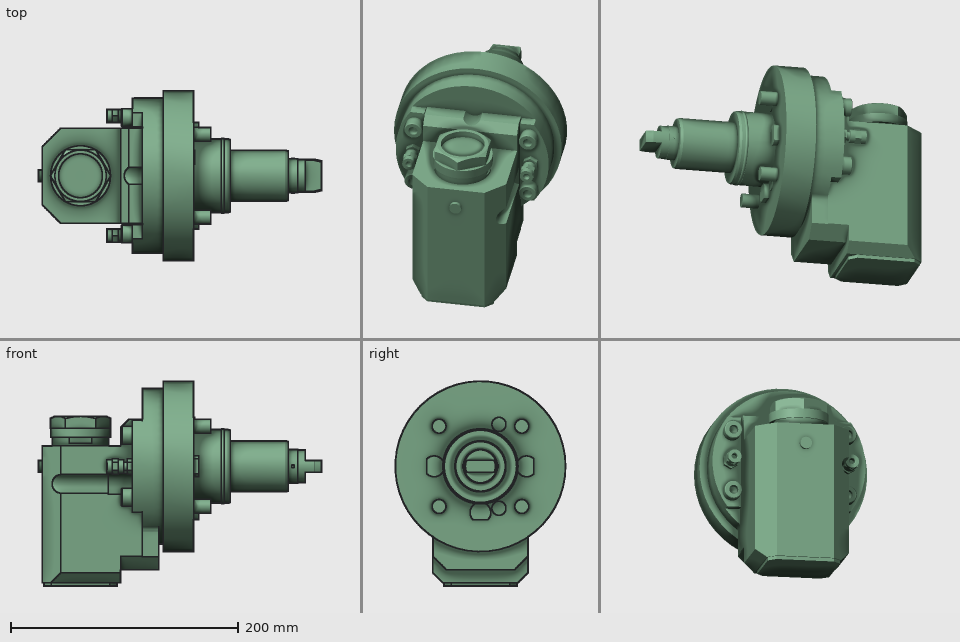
import cadquery as cq
import math


flange_diameter = 150.0
flange_thickness = 26.9
plate_diameter = 137.0
plate_back_x = -45.0
ledge_back_x = -54.0
ledge_half_height = 40.4
slot_half_width = 42.9

block_half_width = 42.0
block_back_x = -133.3
block_front_x = -64.2
block_top_z = 18.0
block_bottom_z = -102.6
block_corner_chamfer = 16.5
block_bottom_chamfer = 9.0
lip_top_z = 41.5
lip_chamfer = 7.2
lip_groove_radius = 9.0
lip_groove_half_width = 7.5
foot_top_z = -50.0
foot_bottom_z = -91.2
foot_front_x = -30.6
foot_chamfer = 12.2
foot_side_inset = 0.5
foot_fillet_radius = 4.8
side_groove_radius = 8.3
side_groove_wide_radius = 9.2
side_groove_y = -42.6
side_groove_z = -15.4
side_groove_step_x = -75.0
back_pin_diameter = 10.5
back_pin_length = 3.2

spindle_x = -99.5
neck_diameter = 50.0
neck_height = 7.4
neck_flats_width = 46.0
neck_flats_start = 2.2
collar_diameter = 52.8
collar_height = 8.1
hex_width = 46.0
hex_height = 10.6
hex_chamfer_diameter = 45.2
hex_chamfer_height = 2.0
nut_recess_diameter = 38.6
nut_recess_depth = 6.0
cover_width = 64.5
cover_corner_chamfer = 6.6
cover_height = 2.9

shank_diameter = 65.0
shank_length = 32.3
shank_chamfer_length = 2.2
shank_chamfer_depth = 0.7
seal_groove_start = 24.3
seal_section_radius = 1.4
seal_bulge = 0.6
sleeve_diameter = 45.0
sleeve_end_x = 83.3
sleeve_chamfer_length = 2.4
sleeve_chamfer_depth = 0.7
shaft_diameter = 30.0
shaft_end_x = 91.5
tenon_diameter = 29.0
tenon_start_x = 98.3
tenon_end_x = 112.5
tenon_thickness = 10.6
tenon_taper_length = 6.3
tenon_taper_depth = 1.3
cross_pin_x = 87.4
cross_pin_diameter = 2.6
cross_pin_length = 31.2

head_diameter = 15.8
head_length = 9.5
head_edge_chamfer = 0.7
socket_diameter = 8.0
socket_depth = 5.0
socket_point_depth = 2.3
screw_y = 51.2
screw_z = 27.2
screw_end_diameter = 12.3
screw_end_length = 15.2
screw_end_y = 36.4
screw_end_z = 35.3
nipple_y = 52.6
nipple_hex_width = 11.8
nipple_bore_diameter = 4.8
nipple_mouth_diameter = 5.8
nipple_bore_depth = 6.0
nipple_ring_diameter = 11.8
nipple_neck_diameter = 7.6
nipple_base_length = 4.3
nipple_neck_length = 3.3
nipple_ring_length = 4.7
nipple_hex_length = 5.3
nipple_tip_length = 4.7

pad_diameter = 18.3
pad_center_radius = 40.7
pad_reach = 47.0
pad_height = 4.6
port_seal_diameter = 12.4
port_seal_height = 0.9
port_seal_y = 16.3
port_seal_z = 36.9


def rod(x_start, x_end, diameter, y=0.0, z=0.0):
    """Cylinder along X between two X positions."""
    return cq.Workplane("YZ", origin=(x_start, y, z)).circle(diameter / 2).extrude(x_end - x_start)


def hex_bar(x_start, x_end, width, y, z):
    """Hexagonal bar along X with two flats facing +Y and -Y."""
    across_corners = 2 * width / math.sqrt(3)
    plane = cq.Workplane("YZ", origin=(x_start, y, z))
    return plane.transformed(rotate=(0, 0, 90)).polygon(6, across_corners).extrude(x_end - x_start)


def box(x_range, y_range, z_range):
    """Box given by its limits along each axis."""
    sizes = [high - low for low, high in (x_range, y_range, z_range)]
    corner = (x_range[0], y_range[0], z_range[0])
    return cq.Workplane("XY", origin=corner).box(*sizes, centered=False)


def chamfered_column(x_start, x_end, half_width, top, bottom, chamfer):
    """Block along X whose two lower long edges are chamfered at 45 degrees."""
    column = box((x_start, x_end), (-half_width, half_width), (bottom, top))
    return column.edges("|X and <Z").chamfer(chamfer)


def make_plate():
    flange = rod(-flange_thickness, 0, flange_diameter)
    plate = rod(plate_back_x, -flange_thickness, plate_diameter)
    ledge = rod(ledge_back_x, plate_back_x, plate_diameter)
    ledge_limits = (-ledge_half_height, ledge_half_height)
    for side in (-1, 1):
        y_limits = sorted((side * slot_half_width, side * plate_diameter))
        ledge_zone = box((ledge_back_x, plate_back_x), y_limits, ledge_limits)
        plate = plate.union(ledge.intersect(ledge_zone))
    return flange.union(plate)


def add_foot(plate):
    """Adds the foot below the clamping plate, with fillets where its sides meet the rim."""
    half_width = block_half_width - foot_side_inset
    foot = chamfered_column(
        plate_back_x, foot_front_x, half_width, foot_top_z, foot_bottom_z, foot_chamfer - foot_side_inset
    )
    meeting_z = -math.sqrt((plate_diameter / 2) ** 2 - half_width**2)
    middle_x = (plate_back_x + foot_front_x) / 2
    footed_plate = plate.union(foot)
    for side in (-1, 1):
        meeting_point = (middle_x, side * half_width, meeting_z)
        meeting_edge = cq.selectors.NearestToPointSelector(meeting_point)
        footed_plate = footed_plate.edges(meeting_edge).fillet(foot_fillet_radius)
    return footed_plate


def make_block():
    column = chamfered_column(
        block_back_x, block_front_x, block_half_width, block_top_z, block_bottom_z, block_bottom_chamfer
    )
    footprint = (
        cq.Workplane("XY", origin=(0, 0, block_bottom_z))
        .polyline([
            (block_front_x, -block_half_width),
            (block_back_x + block_corner_chamfer, -block_half_width),
            (block_back_x, -block_half_width + block_corner_chamfer),
            (block_back_x, block_half_width - block_corner_chamfer),
            (block_back_x + block_corner_chamfer, block_half_width),
            (block_front_x, block_half_width),
        ])
        .close()
        .extrude(block_top_z - block_bottom_z)
    )
    block = column.intersect(footprint)

    front_wall = chamfered_column(
        block_front_x, plate_back_x, block_half_width, lip_top_z, foot_bottom_z, foot_chamfer
    )
    front_wall = front_wall.edges("<X and >Z").chamfer(lip_chamfer)
    block = block.union(front_wall)

    groove_rise = math.sqrt(lip_groove_radius**2 - lip_groove_half_width**2)
    lip_groove = rod(
        block_front_x, plate_back_x, 2 * lip_groove_radius, z=lip_top_z + groove_rise
    )
    side_groove = rod(
        block_back_x, side_groove_step_x, 2 * side_groove_radius, side_groove_y, side_groove_z
    )
    wide_groove = rod(
        side_groove_step_x, ledge_back_x, 2 * side_groove_wide_radius, side_groove_y, side_groove_z
    )
    block = block.cut(lip_groove).cut(side_groove).cut(wide_groove)

    back_pin = rod(block_back_x - back_pin_length, block_back_x, back_pin_diameter)
    return block.union(back_pin)


def make_spindle_neck():
    """Round neck above the block with a wrench flat on its +Y and -Y sides."""
    neck = (
        cq.Workplane("XY", origin=(spindle_x, 0, block_top_z))
        .circle(neck_diameter / 2)
        .extrude(neck_height)
    )
    flats_height = neck_height - neck_flats_start
    outside_flats = (
        cq.Workplane("XY", origin=(spindle_x, 0, block_top_z + neck_flats_start))
        .rect(neck_diameter, 2 * neck_diameter)
        .rect(neck_diameter, neck_flats_width)
        .extrude(flats_height)
    )
    return neck.cut(outside_flats)


def make_bottom_cover():
    return (
        cq.Workplane("XY", origin=(spindle_x, 0, block_bottom_z))
        .rect(cover_width, cover_width)
        .extrude(-cover_height)
        .edges("|Z")
        .chamfer(cover_corner_chamfer)
    )


def make_shank():
    shank_radius = shank_diameter / 2
    sleeve_radius = sleeve_diameter / 2
    seal_center_x = seal_groove_start + seal_section_radius
    seal_center_radius = shank_radius + seal_bulge - seal_section_radius
    tenon_radius = tenon_diameter / 2
    shank = (
        cq.Workplane("XY")
        .moveTo(0, 0)
        .lineTo(0, shank_radius)
        .lineTo(seal_groove_start, shank_radius)
        .lineTo(seal_groove_start, seal_center_radius)
        .threePointArc(
            (seal_center_x, seal_center_radius + seal_section_radius),
            (seal_center_x + seal_section_radius, seal_center_radius),
        )
        .lineTo(seal_center_x + seal_section_radius, shank_radius)
        .lineTo(shank_length - shank_chamfer_length, shank_radius)
        .lineTo(shank_length, shank_radius - shank_chamfer_depth)
        .lineTo(shank_length, sleeve_radius)
        .lineTo(sleeve_end_x - sleeve_chamfer_length, sleeve_radius)
        .lineTo(sleeve_end_x, sleeve_radius - sleeve_chamfer_depth)
        .lineTo(sleeve_end_x, shaft_diameter / 2)
        .lineTo(shaft_end_x, shaft_diameter / 2)
        .lineTo(shaft_end_x, tenon_radius)
        .lineTo(tenon_end_x - tenon_taper_length, tenon_radius)
        .lineTo(tenon_end_x, tenon_radius - tenon_taper_depth)
        .lineTo(tenon_end_x, 0)
        .close()
        .revolve(360, (0, 0, 0), (1, 0, 0))
    )
    for side in (-1, 1):
        z_limits = sorted((side * tenon_thickness / 2, side * tenon_diameter))
        beside_tenon = box((tenon_start_x, tenon_end_x), (-tenon_diameter, tenon_diameter), z_limits)
        shank = shank.cut(beside_tenon)
    cross_pin = (
        cq.Workplane("XZ", origin=(cross_pin_x, cross_pin_length / 2, 0))
        .circle(cross_pin_diameter / 2)
        .extrude(cross_pin_length)
    )
    return shank.union(cross_pin)


def make_screw_head(y, z):
    """Cap screw head on a ledge, with a round socket that ends in a cone."""
    head = rod(ledge_back_x - head_length, ledge_back_x, head_diameter, y, z)
    head = head.faces("<X").edges().chamfer(head_edge_chamfer)
    socket_end_x = ledge_back_x - head_length + socket_depth
    socket = rod(ledge_back_x - head_length, socket_end_x, socket_diameter, y, z)
    point = cq.Solid.makeCone(
        socket_diameter / 2, 0, socket_point_depth, cq.Vector(socket_end_x, y, z), cq.Vector(1, 0, 0)
    )
    return head.cut(socket.union(cq.Workplane(point)))


def make_nipple(y):
    """Hose nipple on a ledge: base hexagon, neck, ring, hexagon and bored end ring."""
    base_hex_x = ledge_back_x - nipple_base_length
    ring_x = base_hex_x - nipple_neck_length
    upper_hex_x = ring_x - nipple_ring_length
    end_ring_x = upper_hex_x - nipple_hex_length
    tip_x = end_ring_x - nipple_tip_length
    nipple = (
        hex_bar(base_hex_x, ledge_back_x, nipple_hex_width, y, 0)
        .union(rod(ring_x, base_hex_x, nipple_neck_diameter, y))
        .union(rod(upper_hex_x, ring_x, nipple_ring_diameter, y))
        .union(hex_bar(end_ring_x, upper_hex_x, nipple_hex_width, y, 0))
        .union(rod(tip_x, end_ring_x, nipple_ring_diameter, y))
    )
    bore = rod(tip_x, tip_x + nipple_bore_depth, nipple_bore_diameter, y)
    mouth_depth = (nipple_mouth_diameter - nipple_bore_diameter) / 2
    mouth = cq.Solid.makeCone(
        nipple_mouth_diameter / 2,
        nipple_bore_diameter / 2,
        mouth_depth,
        cq.Vector(tip_x, y, 0),
        cq.Vector(1, 0, 0),
    )
    return nipple.cut(bore).cut(cq.Workplane(mouth))


def make_pads():
    """Round pads on the locating face at -Y, -Z and +Y, each with a flat on its outer side."""
    beyond_flat = box((0, pad_height), (-2 * pad_reach, -pad_reach), (-pad_diameter, pad_diameter))
    pad = rod(0, pad_height, pad_diameter, y=-pad_center_radius).cut(beyond_flat)
    return [pad.rotate((0, 0, 0), (1, 0, 0), angle) for angle in (0, 90, 180)]


def make_holder():
    holder = add_foot(make_plate()).union(make_block()).union(make_spindle_neck())
    holder = holder.union(make_bottom_cover()).union(make_shank())
    for pad in make_pads():
        holder = holder.union(pad)
    for y_side in (-1, 1):
        holder = holder.union(make_nipple(y_side * nipple_y))
        for z_side in (-1, 1):
            holder = holder.union(make_screw_head(y_side * screw_y, z_side * screw_z))
            end_y = y_side * screw_end_y
            end_z = z_side * screw_end_z
            holder = holder.union(rod(0, screw_end_length, screw_end_diameter, end_y, end_z))
    for z_side in (-1, 1):
        port_seal = rod(0, port_seal_height, port_seal_diameter, port_seal_y, z_side * port_seal_z)
        holder = holder.union(port_seal)
    return holder


def make_nut():
    """Clamping nut on the spindle neck: collar, chamfered hexagon and round recess."""
    collar_z = block_top_z + neck_height
    hex_z = collar_z + collar_height
    top_z = hex_z + hex_height
    across_corners = 2 * hex_width / math.sqrt(3)
    collar = cq.Workplane("XY", origin=(spindle_x, 0, collar_z)).circle(collar_diameter / 2)
    hexagon = cq.Workplane("XY", origin=(spindle_x, 0, hex_z)).polygon(6, across_corners)
    corner_cone = (
        cq.Workplane("XZ", origin=(spindle_x, 0, 0))
        .moveTo(0, hex_z)
        .lineTo(across_corners / 2, hex_z)
        .lineTo(across_corners / 2, top_z - hex_chamfer_height)
        .lineTo(hex_chamfer_diameter / 2, top_z)
        .lineTo(0, top_z)
        .close()
        .revolve(360, (0, 0, 0), (0, 1, 0))
    )
    recess = (
        cq.Workplane("XY", origin=(spindle_x, 0, top_z))
        .circle(nut_recess_diameter / 2)
        .extrude(-nut_recess_depth)
    )
    hexagon = hexagon.extrude(hex_height).intersect(corner_cone)
    return collar.extrude(collar_height).union(hexagon).cut(recess)


holder = make_holder()
nut = make_nut()
result = cq.Compound.makeCompound([holder.solids().val(), nut.solids().val()])